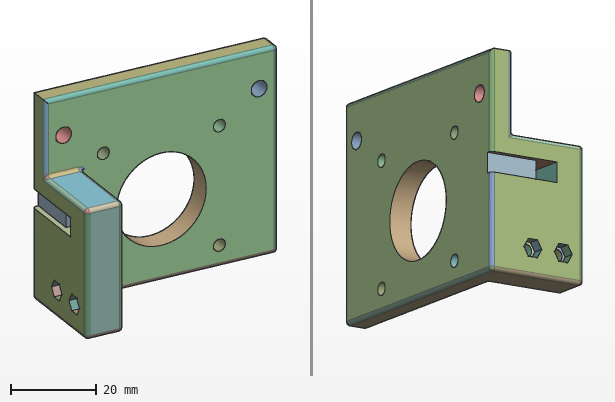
import cadquery as cq

plate_thickness = 6.0
plate_length = 62.3
plate_height = 53.8
block_reach = 26.0
block_width = 9.95
block_height = 33.75
edge_radius = 1.0
inner_radius = 0.9

motor_y = plate_length / 2
motor_z = 21.1
pilot_diameter = 24.0
motor_screw_spacing = 31.0
screw_diameter = 3.2

mount_diameter = 4.2
mount_spacing = 52.3
mount_z = 43.8

slot_bottom = 23.8
slot_height = 5.0
slot_end = 18.45
groove_depth = 1.5
window_start = 13.5

clamp_x_positions = (11.7, 20.25)
clamp_z = 7.0
nut_across_corners = 5.0
nut_depth = 3.0


def box(x0, y0, z0, x_size, y_size, z_size):
    """Box placed by its lowest corner."""
    return cq.Workplane("XY").box(x_size, y_size, z_size, centered=False).translate((x0, y0, z0))


def near_edge(x0, y0, z0, x1, y1, z1):
    """Selector for edges centred in a box grown by half the edge radius on every side."""
    margin = edge_radius / 2
    return cq.selectors.BoxSelector(
        (x0 - margin, y0 - margin, z0 - margin),
        (x1 + margin, y1 + margin, z1 + margin),
    )


def rounded_bracket():
    """Plate and block with rounded outer edges.

    The plate's top edge at -Y and the vertical inner corner stay sharp.
    The inner corner above the block gets its own smaller fillet.
    """
    plate = box(0, 0, 0, plate_thickness, plate_length, plate_height)
    block = box(0, 0, 0, block_reach, block_width, block_height)
    body = plate.union(block).clean()
    sharp_top = near_edge(0, 0, plate_height, plate_thickness, 0, plate_height)
    inner_ledge = near_edge(plate_thickness, 0, block_height, plate_thickness, block_width, block_height)
    inner_wall = near_edge(plate_thickness, block_width, 0, plate_thickness, block_width, block_height)
    rounded = body.edges(cq.selectors.InverseSelector(sharp_top + inner_ledge + inner_wall)).fillet(edge_radius)
    filleted = rounded.edges(inner_ledge).edges("|Y").fillet(inner_radius)
    trim = box(plate_thickness, block_width, 0, inner_radius, inner_radius, block_height)
    return filleted.cut(trim)


def plate_holes(diameter, points):
    """Cylinders along X through the plate at (Y, Z) points."""
    return cq.Workplane("YZ").pushPoints(points).circle(diameter / 2).extrude(plate_thickness)


def clamp_holes():
    """Screw holes along Y with a nut pocket in the -Y face."""
    points = [(x, clamp_z) for x in clamp_x_positions]
    front_plane = cq.Workplane("XZ").pushPoints(points)
    screws = front_plane.circle(screw_diameter / 2).extrude(-block_width)
    nuts = front_plane.polygon(6, nut_across_corners).extrude(-nut_depth)
    return screws.union(nuts)


motor_offset = motor_screw_spacing / 2
motor_points = [
    (motor_y + side * motor_offset, motor_z + level * motor_offset)
    for side in (-1, 1)
    for level in (-1, 1)
]
mount_points = [(plate_length / 2 + side * mount_spacing / 2, mount_z) for side in (-1, 1)]

result = rounded_bracket()
result = result.cut(plate_holes(pilot_diameter, [(motor_y, motor_z)]))
result = result.cut(plate_holes(screw_diameter, motor_points))
result = result.cut(plate_holes(mount_diameter, mount_points))
result = result.cut(box(0, 0, slot_bottom, slot_end, groove_depth, slot_height))
result = result.cut(box(window_start, 0, slot_bottom, slot_end - window_start, block_width, slot_height))
result = result.cut(clamp_holes())